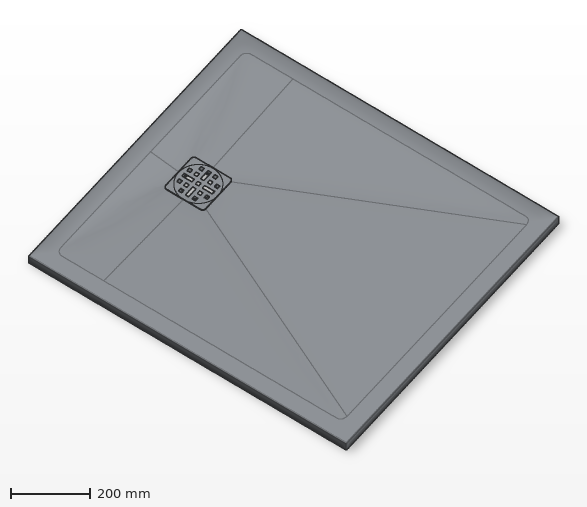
import cadquery as cq
import math

TRAY_LENGTH = 1000.0
TRAY_WIDTH = 900.0
TRAY_HEIGHT = 30.0
TRAY_EDGE_RADIUS = 2.0

RIM_WIDTH = 50.0
BASIN_LENGTH = TRAY_LENGTH - 2 * RIM_WIDTH
BASIN_WIDTH = TRAY_WIDTH - 2 * RIM_WIDTH
BASIN_CORNER_RADIUS = 20.0
BASIN_DEPTH = 15.0
BASIN_FLOOR_Z = TRAY_HEIGHT - BASIN_DEPTH

GRATE_X = -300.0
GRATE_SIZE = 126.0
GRATE_CORNER_RADIUS = 10.0
GRATE_THICKNESS = 2.0
GRATE_BOTTOM_Z = BASIN_FLOOR_Z - GRATE_THICKNESS
GRATE_LIP = 1.0
DRAIN_DIAMETER = 90.0

WELL_DIAMETER = 124.0
WELL_DEPTH = 3.0

OPENING_SIZE = 10.0
OPENING_SPAN = 96.0
OPENING_PITCH = (OPENING_SPAN - OPENING_SIZE) / 4
SLOT_LENGTH = OPENING_PITCH + OPENING_SIZE
SLOT_OFFSET = 1.5 * OPENING_PITCH

OUTLINE_SAMPLES = 60
OUTLINE_TOLERANCE = 0.05


def rounded_corner_path(start, corner, end, radius, z):
    """Single curve from start to end along two sides with a rounded corner between them."""
    start, corner, end = (cq.Vector(x, y, z) for x, y in (start, corner, end))
    to_start = (start - corner).normalized()
    to_end = (end - corner).normalized()
    arc_start = corner + to_start * radius
    arc_middle = corner + (to_start + to_end) * (radius * (1 - math.sqrt(0.5)))
    arc_end = corner + to_end * radius
    sides = [cq.Edge.makeLine(start, arc_start), cq.Edge.makeThreePointArc(arc_start, arc_middle, arc_end)]
    if (end - arc_end).Length > OUTLINE_TOLERANCE:
        sides.append(cq.Edge.makeLine(arc_end, end))
    path = cq.Wire.assembleEdges(sides)
    points = path.positions([i / OUTLINE_SAMPLES for i in range(OUTLINE_SAMPLES + 1)])
    return cq.Edge.makeSplineApprox(points, tol=OUTLINE_TOLERANCE)


def outline_edges(center_x, length, width, radius, z):
    """Rounded rectangle as six edges, split on Y = 0, on X = GRATE_X and at the +X corners."""
    left = center_x - length / 2
    right = center_x + length / 2
    back = width / 2
    edges = []
    for side in (1, -1):
        y = side * back
        tangent = y - side * radius
        edges += [
            rounded_corner_path((left, 0), (left, y), (GRATE_X, y), radius, z),
            rounded_corner_path((GRATE_X, y), (right, y), (right, tangent), radius, z),
            cq.Edge.makeLine(cq.Vector(right, tangent, z), cq.Vector(right, 0, z)),
        ]
    return edges


def basin_cutter():
    """Solid between the rim outline and the small floor outline, joined by ruled slopes."""
    floor_size = GRATE_SIZE - 2 * GRATE_LIP
    rim = outline_edges(0, BASIN_LENGTH, BASIN_WIDTH, BASIN_CORNER_RADIUS, TRAY_HEIGHT)
    floor = outline_edges(GRATE_X, floor_size, floor_size, GRATE_CORNER_RADIUS - GRATE_LIP, BASIN_FLOOR_Z)
    faces = [cq.Face.makeRuledSurface(upper, lower) for upper, lower in zip(rim, floor)]
    for edges in (rim, floor):
        faces.append(cq.Face.makeFromWires(cq.Wire.combine(edges)[0]))
    shell = cq.Shell.makeShell(faces)
    return cq.Workplane(cq.Solid.makeSolid(shell))


def grate_blank():
    return (
        cq.Workplane("XY", origin=(GRATE_X, 0, GRATE_BOTTOM_Z))
        .rect(GRATE_SIZE, GRATE_SIZE)
        .extrude(GRATE_THICKNESS)
        .edges("|Z")
        .fillet(GRATE_CORNER_RADIUS)
    )


def round_hole(diameter, bottom_z):
    """Vertical cylinder on the drain axis, from bottom_z up to the underside of the grate."""
    return (
        cq.Workplane("XY", origin=(GRATE_X, 0, bottom_z))
        .circle(diameter / 2)
        .extrude(GRATE_BOTTOM_Z - bottom_z)
    )


def make_tray():
    slab = cq.Workplane("XY").box(TRAY_LENGTH, TRAY_WIDTH, TRAY_HEIGHT, centered=(True, True, False))
    slab = slab.edges().fillet(TRAY_EDGE_RADIUS)
    well = round_hole(WELL_DIAMETER, GRATE_BOTTOM_Z - WELL_DEPTH)
    drain = round_hole(DRAIN_DIAMETER, 0)
    return slab.cut(basin_cutter()).cut(grate_blank()).cut(well).cut(drain)


def make_grate():
    squares = [(0, 0)]
    for column in (-2, -1, 1, 2):
        for row in (-2, -1, 1, 2):
            if abs(column) + abs(row) < 4:
                squares.append((column * OPENING_PITCH, row * OPENING_PITCH))
    openings = (
        cq.Workplane("XY", origin=(GRATE_X, 0, 0))
        .pushPoints(squares)
        .rect(OPENING_SIZE, OPENING_SIZE)
        .extrude(TRAY_HEIGHT)
    )
    slots = (
        cq.Workplane("XY", origin=(GRATE_X, 0, 0))
        .polarArray(SLOT_OFFSET, 0, 360, 4)
        .rect(SLOT_LENGTH, OPENING_SIZE)
        .extrude(TRAY_HEIGHT)
    )
    return grate_blank().cut(openings).cut(slots)


tray = make_tray().solids()
grate = make_grate().solids()
result = cq.Compound.makeCompound([tray.val(), grate.val()])